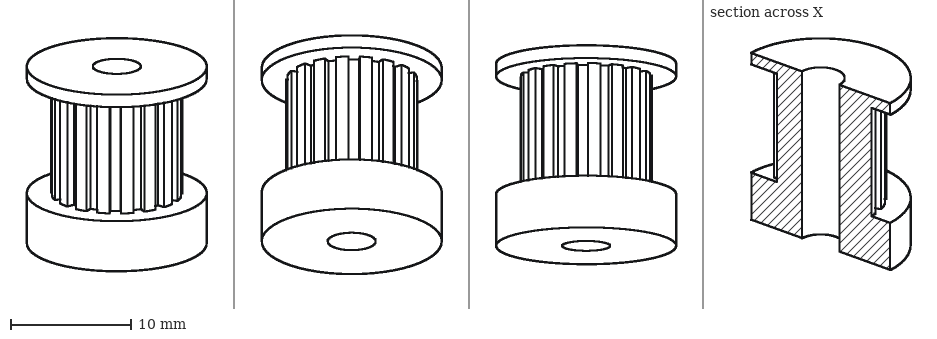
import cadquery as cq
import math

total_height = 15.5
flange_diameter = 15.0
bore_diameter = 4.0
base_height = 4.4
top_flange_height = 1.1

tooth_count = 17
tip_radius = 5.47
root_radius = 4.76
tooth_angle = 11.0
first_tooth_angle = -90.0

toothed_height = total_height - base_height - top_flange_height
tooth_pitch_angle = 360.0 / tooth_count


def polar_point(radius, angle):
    """Point at the given radius and angle in degrees."""
    radians = math.radians(angle)
    return (radius * math.cos(radians), radius * math.sin(radians))


def make_toothed_section():
    """Prism with the tooth outline, between the base and the top flange."""
    half_tooth = tooth_angle / 2
    start = polar_point(root_radius, first_tooth_angle - half_tooth)
    outline = cq.Workplane("XY").workplane(offset=base_height).moveTo(*start)
    for index in range(tooth_count):
        center = first_tooth_angle + index * tooth_pitch_angle
        next_start = center + tooth_pitch_angle - half_tooth
        outline = outline.lineTo(*polar_point(tip_radius, center - half_tooth))
        outline = outline.threePointArc(
            polar_point(tip_radius, center),
            polar_point(tip_radius, center + half_tooth),
        )
        outline = outline.lineTo(*polar_point(root_radius, center + half_tooth))
        if index < tooth_count - 1:
            outline = outline.lineTo(*polar_point(root_radius, next_start))
    return outline.close().extrude(toothed_height)


def make_disc(bottom, height):
    """Round disc of the flange diameter."""
    return cq.Workplane("XY").workplane(offset=bottom).circle(flange_diameter / 2).extrude(height)


base = make_disc(0, base_height)
top_flange = make_disc(total_height - top_flange_height, top_flange_height)
bore = cq.Workplane("XY").circle(bore_diameter / 2).extrude(total_height)

result = base.union(make_toothed_section()).union(top_flange).cut(bore)